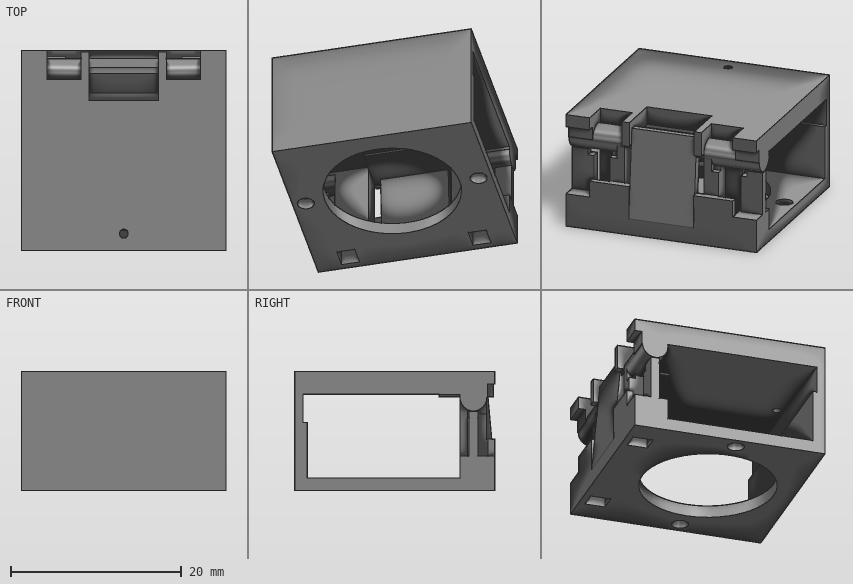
import cadquery as cq
import math

LENGTH = 24.0
WIDTH = 23.5
HEIGHT = 14.0
MID_X = LENGTH / 2

FLOOR = 1.5
CEILING = 2.7
FRONT_WALL = 1.5
FRONT_WALL_THIN = 1.0
FRONT_STEP_Z = 8.02
REAR_WALL = 4.1
REAR_SILL_Z = 4.05

BARREL_RADIUS = 1.55
BARREL_DEPTH = 2.52
BARREL_Z = HEIGHT - 3.1
HEADER_DEPTH = 0.9
LIP_THICKNESS = 1.5

WELL_START = 3.0
BODY_START = 5.15
ARM_START = 7.0
POCKET_START = 7.92

PLATE = 0.8
PLATE_TOP_Z = 6.05
WELL_FRONT_DEPTH = 3.25
BODY_DEPTH = 1.0
BODY_NOTCH_DEPTH = 1.78
BODY_NOTCH_Z = 8.98
BODY_NOTCH_END = 6.05
SLOT_DEPTH = 3.43

ARM_DEPTH = 0.2
ARM_HEIGHT = 3.0

POST_DEPTH = 2.0
POST_THICKNESS = 1.03
POST_LENGTH = 2.0
POST_TOP_Z = 9.3
HEAD_THICKNESS = 1.2
HEAD_END = 2.74
HEAD_TOP_Z = 8.52

POCKET_DEPTH = 5.85
POCKET_BOSS_DEPTH = 6.55
SHELF_DROP = 1.4
RAMP_START_DEPTH = 2.74
RAMP_END_DEPTH = 5.02
RAMP_ANGLE = 20.0
RAMP_TAIL_ANGLE = 2.0
TAB_TOP_DEPTH = 0.98
TAB_TIP_DEPTH = 2.02
TAB_ANGLE = 5.1
TAB_LEAN = math.tan(math.radians(TAB_ANGLE))
TAB_FOOT_Z = 2.02

LENS_RADIUS = 8.1
LENS_Y = 10.5
PEG_HOLE_DIAMETER = 2.0
PEG_HOLE_X = 1.58
PIN_HOLE_DIAMETER = 1.0
PIN_HOLE_Y = 2.0


def block(x_range, depth_range, z_range):
    """Box given by X, depth from the rear face and Z ranges."""
    (x0, x1), (d0, d1), (z0, z1) = x_range, depth_range, z_range
    return cq.Workplane("XY").box(x1 - x0, d1 - d0, z1 - z0, centered=False).translate((x0, WIDTH - d1, z0))


def profile(points, x0, x1):
    """Polygon of (depth, z) points extruded from x0 to x1."""
    outline = [(WIDTH - depth, z) for depth, z in points]
    return cq.Workplane("YZ").workplane(offset=x0).polyline(outline).close().extrude(x1 - x0)


def both_ends(solid):
    """The solid joined with its mirror image about the middle of the part."""
    return solid.union(solid.mirror("YZ", (MID_X, 0, 0)))


def hole(x, y, z0, z1, diameter):
    return cq.Workplane("XY").workplane(offset=z0).center(x, y).circle(diameter / 2).extrude(z1 - z0)


def centred(start):
    return (start, LENGTH - start)


def shell():
    ceiling_z = HEIGHT - CEILING
    points = [
        (0, 0),
        (WIDTH, 0),
        (WIDTH, HEIGHT),
        (0, HEIGHT),
        (0, HEIGHT - LIP_THICKNESS),
        (HEADER_DEPTH, HEIGHT - LIP_THICKNESS),
        (HEADER_DEPTH, BARREL_Z),
        (REAR_WALL, BARREL_Z),
        (REAR_WALL, ceiling_z),
        (WIDTH - FRONT_WALL_THIN, ceiling_z),
        (WIDTH - FRONT_WALL_THIN, FRONT_STEP_Z),
        (WIDTH - FRONT_WALL, FRONT_STEP_Z),
        (WIDTH - FRONT_WALL, FLOOR),
        (REAR_WALL, FLOOR),
        (REAR_WALL, REAR_SILL_Z),
        (0, REAR_SILL_Z),
    ]
    return profile(points, 0, LENGTH)


def barrel():
    start = cq.Workplane("YZ").center(WIDTH - BARREL_DEPTH, BARREL_Z)
    return start.circle(BARREL_RADIUS).extrude(LENGTH)


def rear_body():
    plate = block(centred(WELL_START), (0, PLATE), (REAR_SILL_Z, PLATE_TOP_Z))
    wall = block(centred(WELL_START), (WELL_FRONT_DEPTH, REAR_WALL), (REAR_SILL_Z, BARREL_Z))
    base = block(centred(BODY_START), (0, REAR_WALL), (REAR_SILL_Z, PLATE_TOP_Z))
    upper = block(centred(BODY_START), (BODY_DEPTH, REAR_WALL), (PLATE_TOP_Z, BARREL_Z))
    notch = both_ends(
        block((BODY_START, BODY_NOTCH_END), (BODY_DEPTH, BODY_NOTCH_DEPTH), (BODY_NOTCH_Z, BARREL_Z))
    )
    return plate.union(wall).union(base).union(upper.cut(notch))


def wells():
    return both_ends(block((WELL_START, BODY_START), (PLATE, WELL_FRONT_DEPTH), (0, BARREL_Z)))


def tab_room():
    """Bay on the inner side of the tab, reaching from the cavity to the thin wall that carries the tab."""
    return block(centred(ARM_START), (BODY_DEPTH, REAR_WALL), (FLOOR, HEIGHT - ARM_HEIGHT))


def slots():
    return both_ends(block((WELL_START, ARM_START), (0, SLOT_DEPTH), (BARREL_Z, HEIGHT)))


def arms():
    return both_ends(
        block((ARM_START, POCKET_START), (ARM_DEPTH, REAR_WALL), (HEIGHT - ARM_HEIGHT, HEIGHT))
    )


def posts():
    post_depths = (POST_DEPTH, POST_DEPTH + POST_THICKNESS)
    head_depths = (POST_DEPTH, POST_DEPTH + HEAD_THICKNESS)
    post = block((0, POST_LENGTH), post_depths, (REAR_SILL_Z, POST_TOP_Z))
    head = block((POST_LENGTH, HEAD_END), head_depths, (REAR_SILL_Z, HEAD_TOP_Z))
    return both_ends(post.union(head))


def pocket():
    return block(centred(POCKET_START), (0, POCKET_DEPTH), (TAB_FOOT_Z, HEIGHT))


def pocket_filling():
    """Snap tab leaning inward from its foot, joined to a shelf and a ramp running down to the front."""
    tab_top_z = TAB_FOOT_Z + TAB_TOP_DEPTH / TAB_LEAN
    tab_tip_z = tab_top_z - (TAB_TIP_DEPTH - TAB_TOP_DEPTH) * TAB_LEAN
    shelf_z = HEIGHT - SHELF_DROP
    boss_z = HEIGHT - ARM_HEIGHT
    ramp_z = shelf_z - (RAMP_END_DEPTH - RAMP_START_DEPTH) * math.tan(math.radians(RAMP_ANGLE))
    tail_z = ramp_z + (POCKET_DEPTH - RAMP_END_DEPTH) * math.tan(math.radians(RAMP_TAIL_ANGLE))

    def tab_front(z):
        return (TAB_TIP_DEPTH - (tab_tip_z - z) * TAB_LEAN, z)

    points = [
        (0, TAB_FOOT_Z),
        (TAB_TOP_DEPTH, tab_top_z),
        (TAB_TIP_DEPTH, tab_tip_z),
        tab_front(shelf_z),
        (RAMP_START_DEPTH, shelf_z),
        (RAMP_END_DEPTH, ramp_z),
        (POCKET_DEPTH, tail_z),
        (POCKET_DEPTH, boss_z),
        tab_front(boss_z),
        tab_front(TAB_FOOT_Z),
    ]
    return profile(points, *centred(POCKET_START))


def ceiling_boss():
    return block(
        centred(ARM_START), (REAR_WALL, POCKET_BOSS_DEPTH), (HEIGHT - ARM_HEIGHT, HEIGHT - CEILING)
    )


def holes():
    lens = hole(MID_X, LENS_Y, 0, FLOOR, 2 * LENS_RADIUS)
    pegs = both_ends(hole(PEG_HOLE_X, LENS_Y, 0, FLOOR, PEG_HOLE_DIAMETER))
    pin = hole(MID_X, PIN_HOLE_Y, HEIGHT - CEILING, HEIGHT, PIN_HOLE_DIAMETER)
    return lens.union(pegs).union(pin)


header_recess = block(centred(ARM_START), (0, HEADER_DEPTH), (BARREL_Z, HEIGHT))
result = shell().cut(slots()).cut(header_recess)
result = result.union(rear_body()).cut(wells())
result = result.union(barrel()).union(arms()).union(posts()).union(ceiling_boss())
result = result.cut(pocket()).cut(tab_room()).union(pocket_filling()).cut(holes())